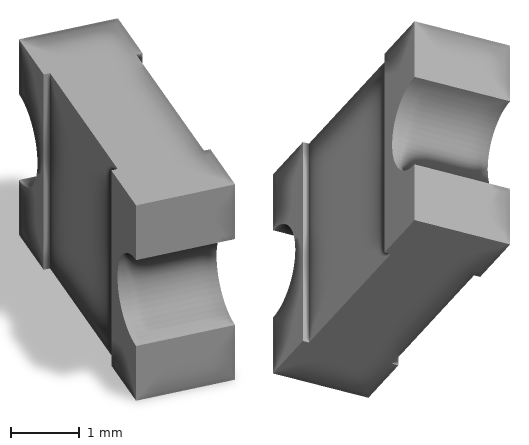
import cadquery as cq

length = 4.73
depth = 1.55
height = 3.41

terminal_length = 1.0
terminal_step = 0.1
notch_radius = 0.75

body_length = length - 2 * terminal_length
body_depth = depth - 2 * terminal_step


def make_body():
    """Plain central block that meets both terminals face to face."""
    return cq.Workplane("XY").box(body_length, body_depth, height)


def make_terminal(side):
    """End block with a half-round notch in its outer face; side is -1 or +1 along X."""
    center_x = side * (length - terminal_length) / 2
    block = cq.Workplane("XY").box(terminal_length, depth, height).translate((center_x, 0, 0))
    notch = (
        cq.Workplane("XZ")
        .center(side * length / 2, 0)
        .circle(notch_radius)
        .extrude(depth / 2, both=True)
    )
    return block.cut(notch)


result = make_body()
for side in (-1, 1):
    result = result.union(make_terminal(side))